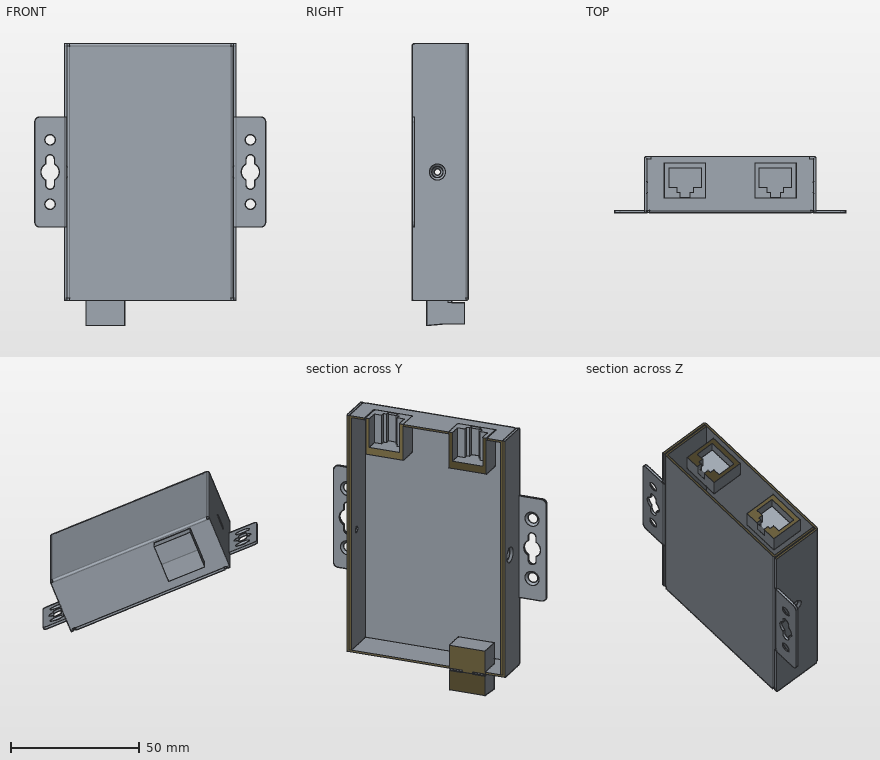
import cadquery as cq
housing_width = 67.0
housing_depth = 22.0
housing_height = 100.2
overall_width = 90.0
overall_height = 110.0
sheet = 1.0
tray_clearance = 0.1

half_width = housing_width / 2
inner_half_width = half_width - sheet
tray_half_width = inner_half_width - tray_clearance
plate_half_width = tray_half_width - sheet
inner_back = housing_depth - sheet
inner_top = housing_height - sheet
mid_height = housing_height / 2

tab_height = 43.0
tab_range = (mid_height - tab_height / 2, mid_height + tab_height / 2)
tab_corner_radius = 2.0
tab_hole_x = 39.0
tab_hole_diameter = 4.0
tab_countersink_diameter = tab_hole_diameter + 2 * sheet
tab_hole_spacing = 25.1
keyhole_diameter = 7.0
keyhole_slot_width = 3.3
keyhole_slot_length = 13.4

screw_y = 9.9
screw_head_diameter = 6.3
screw_tip_diameter = 2.4
screw_cone_length = 2 * sheet + tray_clearance

back_corner_width = 1.5

jack_x = 17.6
jack_width = 15.9
jack_depth = 13.7
jack_length = 15.4
jack_front = 5.7
jack_side_gap = 0.3
jack_cavity_length = 12.1
jack_steps = [(12.6, 9.8), (6.5, 7.9), (4.0, 6.0)]
jack_cavity_back = 17.4

connector_x = -17.5
connector_width = 15.2
connector_depth = 14.7
connector_back = jack_front + connector_depth
header_length = 9.9
plug_gap = 0.8
plug_step_y = 14.1
latch_depth = 1.4
latch_width = 4.4
plug_lip_length = 7.1
plug_lip_drop = 0.7
plug_bottom = housing_height - overall_height
plug_dimple_y = 7.9
plug_dimple_radius = 0.5


def block(x_range, y_range, z_range):
    """Rectangular block between pairs of limits."""
    (x0, x1), (y0, y1), (z0, z1) = x_range, y_range, z_range
    return cq.Workplane("XY").box(x1 - x0, y1 - y0, z1 - z0, centered=False).translate((x0, y0, z0))


def screw_cones():
    """Tapered cutters for the screw holes in both sides of the housing."""
    left = (
        cq.Workplane("YZ", origin=(-half_width, screw_y, mid_height))
        .circle(screw_head_diameter / 2)
        .workplane(offset=screw_cone_length)
        .circle(screw_tip_diameter / 2)
        .loft()
    )
    return left.union(left.mirror("YZ"))


def make_top_wall():
    """Top wall: it fits between the cover sides and laps over the back plate between its corners."""
    lap_half_width = inner_half_width - back_corner_width
    z_range = (inner_top, housing_height)
    wall = block((-tray_half_width, tray_half_width), (sheet, inner_back), z_range)
    lap = block((-lap_half_width, lap_half_width), (inner_back, housing_depth), z_range)
    return wall.union(lap)


def connector_opening():
    """Hole in the bottom wall, filled by the header."""
    half = connector_width / 2
    return block(
        (connector_x - half, connector_x + half), (jack_front, connector_back), (0, sheet)
    )


def mounting_tab():
    """Left tab, with its bend into the side wall, its two countersunk holes and its keyhole."""
    outer = -overall_width / 2
    tab = block((outer, -inner_half_width), (0, 2 * sheet), tab_range)
    tab = tab.edges("|Y and <X").fillet(tab_corner_radius)
    tab = tab.edges("|Z and >X and <Y").fillet(sheet)
    tab = tab.cut(block((outer, -half_width), (sheet, 2 * sheet), tab_range))
    face = cq.Workplane("XZ", origin=(-tab_hole_x, 0, mid_height))
    keyhole = face.circle(keyhole_diameter / 2).extrude(-sheet)
    slot = face.slot2D(keyhole_slot_length, keyhole_slot_width, 90).extrude(-sheet)
    tab = tab.cut(keyhole).cut(slot)
    for offset in (-tab_hole_spacing / 2, tab_hole_spacing / 2):
        countersink = (
            face.center(0, offset)
            .circle(tab_hole_diameter / 2)
            .workplane(offset=-sheet)
            .circle(tab_countersink_diameter / 2)
            .loft()
        )
        tab = tab.cut(countersink)
    return tab


def make_cover():
    """Back plate, two sides and bottom wall, with the mounting tabs bent out of the sides."""
    across = (-half_width, half_width)
    inside = (-inner_half_width, inner_half_width)

    shell = block(across, (0, housing_depth), (0, housing_height))
    shell = shell.edges("|Z and >Y").fillet(sheet)
    shell = shell.cut(block(inside, (0, inner_back), (0, housing_height)))
    shell = shell.cut(block(across, (inner_back, housing_depth), (0, sheet)))
    shell = shell.edges("|X and <Y").fillet(sheet)

    bottom = block(inside, (sheet, housing_depth), (0, 2 * sheet))
    bottom = bottom.edges("|X and >Y and <Z").fillet(sheet)
    bottom = bottom.cut(block(inside, (sheet, inner_back), (sheet, 2 * sheet)))
    cover = shell.union(bottom)

    left_tab = mounting_tab()
    cover = cover.cut(block(across, (0, sheet), tab_range))
    cover = cover.union(left_tab).union(left_tab.mirror("YZ"))

    return cover.cut(make_top_wall()).cut(connector_opening()).cut(screw_cones())


def jack_opening(side):
    """Hole in the top wall for one jack; side is -1 for the left jack and 1 for the right one."""
    inner_edge = side * (jack_x - jack_width / 2)
    outer_edge = side * (jack_x + jack_width / 2 + jack_side_gap)
    return block(
        sorted((inner_edge, outer_edge)),
        (jack_front, jack_front + jack_depth),
        (inner_top, housing_height),
    )


def make_tray():
    """Front plate with two side flanges inside the cover and the top wall."""
    flanged = block((-tray_half_width, tray_half_width), (0, inner_back), (sheet, inner_top))
    flanged = flanged.edges("|Z and <Y").fillet(sheet)
    flanged = flanged.cut(
        block((-plate_half_width, plate_half_width), (sheet, inner_back), (sheet, inner_top))
    )

    plate_range = (-plate_half_width, plate_half_width)
    plate = block(plate_range, (0, 2 * sheet), (0, housing_height))
    plate = plate.edges("|X and >Z and <Y").fillet(sheet)
    plate = plate.cut(block(plate_range, (sheet, 2 * sheet), (0, inner_top)))

    tray = flanged.union(plate).union(make_top_wall())
    for side in (-1, 1):
        tray = tray.cut(jack_opening(side))
    return tray.cut(screw_cones())


def make_jack(side):
    """Network jack flush with the top wall, with a stepped plug cavity."""
    center = side * jack_x
    jack = block(
        (center - jack_width / 2, center + jack_width / 2),
        (jack_front, jack_front + jack_depth),
        (housing_height - jack_length, housing_height),
    )
    for width, front in jack_steps:
        jack = jack.cut(
            block(
                (center - width / 2, center + width / 2),
                (front, jack_cavity_back),
                (housing_height - jack_cavity_length, housing_height),
            )
        )
    return jack


def make_header():
    """Power header in the bottom wall, with a latch that reaches down to the plug."""
    half = connector_width / 2
    body = block(
        (connector_x - half, connector_x + half), (jack_front, connector_back), (0, header_length)
    )
    latch = block(
        (connector_x - latch_width / 2, connector_x + latch_width / 2),
        (plug_step_y, plug_step_y + latch_depth),
        (-plug_gap, 0),
    )
    return body.union(latch)


def make_plug():
    """Power plug below the housing: stepped on top, with a sloping lip along its front bottom edge."""
    left = connector_x - connector_width / 2
    plug = (
        cq.Workplane("YZ", origin=(left, 0, 0))
        .moveTo(jack_front, 0)
        .lineTo(plug_step_y, 0)
        .lineTo(plug_step_y, -plug_gap)
        .lineTo(connector_back, -plug_gap)
        .lineTo(connector_back, plug_bottom + plug_lip_drop)
        .lineTo(jack_front + plug_lip_length, plug_bottom + plug_lip_drop)
        .lineTo(jack_front, plug_bottom)
        .close()
        .extrude(connector_width)
    )
    dimple = (
        cq.Workplane("XY", origin=(left, plug_dimple_y, -plug_gap))
        .circle(plug_dimple_radius)
        .extrude(plug_gap)
    )
    return plug.cut(dimple)


cover = make_cover()
tray = make_tray()
jacks = [make_jack(side) for side in (-1, 1)]
header = make_header()
plug = make_plug()

result = cq.Compound.makeCompound(
    [cover.val(), tray.val(), *[jack.val() for jack in jacks], header.val(), plug.val()]
)